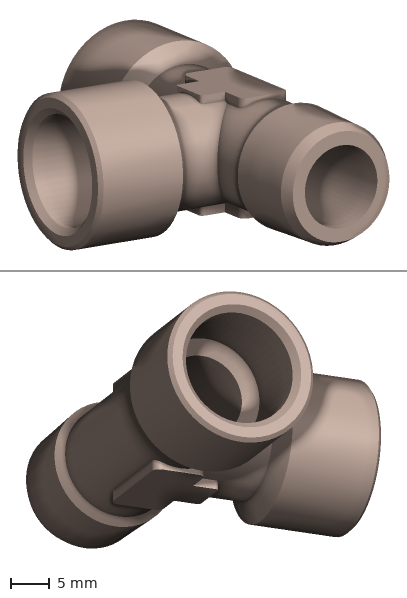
import cadquery as cq

overall_length = 52.5
socket_reach = 27.05
spigot_reach = overall_length - socket_reach
tube_radius = 15.0 / 2
bore_radius = 11 / 2

socket_radius = 20.5 / 2
socket_length = 12.6
shoulder_length = 1.6
rim_chamfer = 0.5
mouth_radius = 16.65 / 2
thread_radius = 14.95 / 2
mouth_depth = mouth_radius - thread_radius
thread_depth = 11.55
drill_cone_length = 1.15

spigot_length = 12.7
spigot_chamfer_length = 1.2
spigot_large_radius = 16.95 / 2
spigot_small_radius = 16.35 / 2
spigot_face_radius = 14.7 / 2
lead_in_length = 1.6

pad_height = 8.05
pad_length = 14.5
pad_width = 7.15
pad_corner_radius = 1.05
stem_width = 6.2
stem_reach = 7.2
stem_corner_radius = 0.45


def revolve_on_run(points):
    """Turn a closed (position, radius) profile about the X axis."""
    return cq.Workplane("XY").polyline(points).close().revolve(360, (0, 0, 0), (1, 0, 0))


def socket_arm():
    """Tube and socket body running from the crossing point toward -X."""
    shoulder_start = socket_length - socket_reach
    return revolve_on_run([
        (0, 0),
        (-socket_reach, 0),
        (-socket_reach, socket_radius - rim_chamfer),
        (rim_chamfer - socket_reach, socket_radius),
        (shoulder_start, socket_radius),
        (shoulder_start + shoulder_length, tube_radius),
        (0, tube_radius),
    ])


def socket_cavity():
    """Countersunk thread bore with a conical floor leading into the through bore."""
    thread_end = thread_depth - socket_reach
    return revolve_on_run([
        (0, 0),
        (-socket_reach, 0),
        (-socket_reach, mouth_radius),
        (mouth_depth - socket_reach, thread_radius),
        (thread_end, thread_radius),
        (thread_end + drill_cone_length, bore_radius),
        (0, bore_radius),
    ])


def spigot_arm():
    """Tube and tapered spigot running from the crossing point toward +X."""
    spigot_start = spigot_reach - spigot_length
    return revolve_on_run([
        (0, 0),
        (0, tube_radius),
        (spigot_start, tube_radius),
        (spigot_start + spigot_chamfer_length, spigot_large_radius),
        (spigot_reach - lead_in_length, spigot_small_radius),
        (spigot_reach, spigot_face_radius),
        (spigot_reach, 0),
    ])


def to_branch(run_shape):
    """Swing a shape from the -X arm of the run to the -Y branch."""
    return run_shape.rotate((0, 0, 0), (0, 0, 1), 90)


def pads():
    """T-shaped block through the body that leaves a flat pad on the top and the bottom."""
    thickness = 2 * pad_height
    bar = cq.Workplane("XY").box(pad_length, pad_width, thickness).edges("|Z").fillet(pad_corner_radius)
    stem = (
        cq.Workplane("XY")
        .box(stem_width, stem_reach, thickness)
        .translate((0, -stem_reach / 2, 0))
        .edges("|Z and <Y")
        .fillet(stem_corner_radius)
    )
    return bar.union(stem)


body = socket_arm().union(spigot_arm()).union(to_branch(socket_arm())).union(pads())
spigot_bore = cq.Workplane("YZ").circle(bore_radius).extrude(spigot_reach)

result = body.cut(socket_cavity()).cut(to_branch(socket_cavity())).cut(spigot_bore)